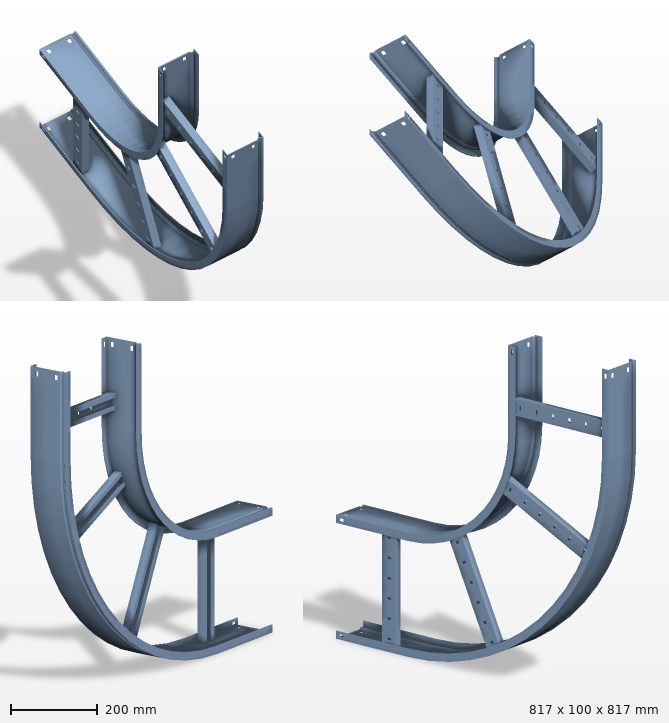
import cadquery as cq

SIZE = 817.0
DEPTH = 100.0
LEG_LENGTH = 216.0
OUTER_RADIUS = SIZE - LEG_LENGTH
INNER_RADIUS = OUTER_RADIUS / 2
CENTRE_X = LEG_LENGTH - SIZE / 2
CENTRE_Z = SIZE / 2 - LEG_LENGTH
CENTRE = (CENTRE_X, 0, CENTRE_Z)
FRONT_Y = -DEPTH / 2
TOP_Z = SIZE / 2

SHEET = 2.05
CUT_THROUGH = 4 * SHEET

FLANGE = 20.0
BEAD_FROM_BACK = 4.0
BEAD_WIDTH = 11.5
BEAD_SLOPE = 3.0
BEAD_DEPTH = 4.0

SLOT_LENGTH = 12.0
SLOT_WIDTH = 9.0
SLOT_FROM_END = 16.0
WEB_SLOTS_FROM_FRONT = (16.0, 72.0)
FLANGE_SLOT_WIDTH = 7.0
FLANGE_SLOT_FROM_WEB = 10.0

RUNG_WIDTH = 40.0
RUNG_HEIGHT = 19.0
RUNG_LIP = 11.0
RUNG_FROM_FRONT = 10.0
RUNG_START = INNER_RADIUS + SHEET
RUNG_END = OUTER_RADIUS - SHEET
LEG_RUNG_FROM_END = 150.0
BEND_RUNG_ANGLE = 25.0

RUNG_SLOT_COUNT = 6
RUNG_SLOT_PITCH = 49.0
RUNG_SLOT_LENGTH = 12.0
RUNG_SLOT_WIDTH = 6.5


def mirror_to_level_leg(shape):
    """Reflect a solid from the upright half of the bend to the level half."""
    return shape.mirror(cq.Vector(1, 0, 1), cq.Vector(*CENTRE))


def rail_section(web_radius, inward):
    """Channel outline where the upright leg meets the bend; inward (+1 or -1) is the flange direction in X."""
    bead_back = DEPTH - BEAD_FROM_BACK
    bead_front = bead_back - BEAD_WIDTH

    def bead(inset):
        crest = inset + BEAD_DEPTH
        return [
            (inset, bead_front),
            (crest, bead_front + BEAD_SLOPE),
            (crest, bead_back - BEAD_SLOPE),
            (inset, bead_back),
        ]

    outside = [(FLANGE, 0), (0, 0)] + bead(0) + [(0, DEPTH), (FLANGE, DEPTH)]
    inside = [
        (FLANGE, DEPTH - SHEET),
        (SHEET, DEPTH - SHEET),
        *reversed(bead(SHEET)),
        (SHEET, SHEET),
        (FLANGE, SHEET),
    ]
    outline = [(inward * inset, depth) for inset, depth in outside + inside]
    return (
        cq.Workplane("XY", origin=(CENTRE_X + web_radius, FRONT_Y, CENTRE_Z))
        .polyline(outline)
        .close()
    )


def cut_bolt_slots(leg, web_radius, inward):
    """Cut two slots in the web and one in the front flange at the free end of the upright leg."""
    slot_z = TOP_Z - SLOT_FROM_END
    web_x = CENTRE_X + web_radius
    web_slot = cq.Workplane("XY").box(CUT_THROUGH, SLOT_WIDTH, SLOT_LENGTH)
    for from_front in WEB_SLOTS_FROM_FRONT:
        leg = leg.cut(web_slot.translate((web_x, FRONT_Y + from_front, slot_z)))
    flange_slot = cq.Workplane("XY").box(FLANGE_SLOT_WIDTH, CUT_THROUGH, SLOT_LENGTH)
    flange_slot_x = web_x + inward * FLANGE_SLOT_FROM_WEB
    return leg.cut(flange_slot.translate((flange_slot_x, FRONT_Y, slot_z)))


def make_rail(web_radius, inward):
    """One rail: two straight legs joined by a quarter bend. web_radius is the web's outer face."""
    leg = rail_section(web_radius, inward).extrude(LEG_LENGTH)
    leg = cut_bolt_slots(leg, web_radius, inward)
    bend = rail_section(web_radius, inward).revolve(90, (-web_radius, 0), (-web_radius, 1))
    return leg.union(bend, clean=False).union(mirror_to_level_leg(leg), clean=False)


def make_rung(start, end):
    """C-section rung along +X at the bend centre's level, from radius start to end, open to the back."""
    length = end - start
    section = [
        (RUNG_HEIGHT, RUNG_LIP - RUNG_WIDTH / 2),
        (RUNG_HEIGHT, -RUNG_WIDTH / 2),
        (0, -RUNG_WIDTH / 2),
        (0, RUNG_WIDTH / 2),
        (RUNG_HEIGHT, RUNG_WIDTH / 2),
        (RUNG_HEIGHT, RUNG_WIDTH / 2 - RUNG_LIP),
        (RUNG_HEIGHT - SHEET, RUNG_WIDTH / 2 - RUNG_LIP),
        (RUNG_HEIGHT - SHEET, RUNG_WIDTH / 2 - SHEET),
        (SHEET, RUNG_WIDTH / 2 - SHEET),
        (SHEET, SHEET - RUNG_WIDTH / 2),
        (RUNG_HEIGHT - SHEET, SHEET - RUNG_WIDTH / 2),
        (RUNG_HEIGHT - SHEET, RUNG_LIP - RUNG_WIDTH / 2),
    ]
    rung_y = FRONT_Y + RUNG_FROM_FRONT
    profile = cq.Workplane("YZ", origin=(CENTRE_X + start, rung_y, CENTRE_Z)).polyline(section).close()
    slots = (
        cq.Workplane("XZ", origin=(CENTRE_X + start + length / 2, rung_y, CENTRE_Z))
        .rarray(RUNG_SLOT_PITCH, 8, RUNG_SLOT_COUNT, 1)
        .rect(RUNG_SLOT_WIDTH, RUNG_SLOT_LENGTH)
        .extrude(-SHEET)
    )
    return profile.extrude(length).cut(slots)


def make_leg_rung():
    """Rung square across the upright leg."""
    return make_rung(RUNG_START, RUNG_END).translate((0, 0, LEG_LENGTH - LEG_RUNG_FROM_END))


def make_bend_rung():
    """Rung on a radius of the bend, its ends curved to meet both webs."""
    between_webs = (
        cq.Workplane("XZ", origin=CENTRE)
        .circle(RUNG_END)
        .circle(RUNG_START)
        .extrude(DEPTH / 2, both=True)
    )
    rung = make_rung(INNER_RADIUS, OUTER_RADIUS).intersect(between_webs)
    return rung.rotate(CENTRE, (CENTRE_X, 1, CENTRE_Z), BEND_RUNG_ANGLE)


def make_rungs():
    """Four rungs: one on the upright leg, one on the bend, and their reflections."""
    upright_half = [make_leg_rung(), make_bend_rung()]
    return upright_half + [mirror_to_level_leg(rung) for rung in upright_half]


inner_rail = make_rail(INNER_RADIUS, 1)
outer_rail = make_rail(OUTER_RADIUS, -1)
rungs = make_rungs()

result = cq.Compound.makeCompound(
    [inner_rail.val(), outer_rail.val()] + [rung.val() for rung in rungs]
)